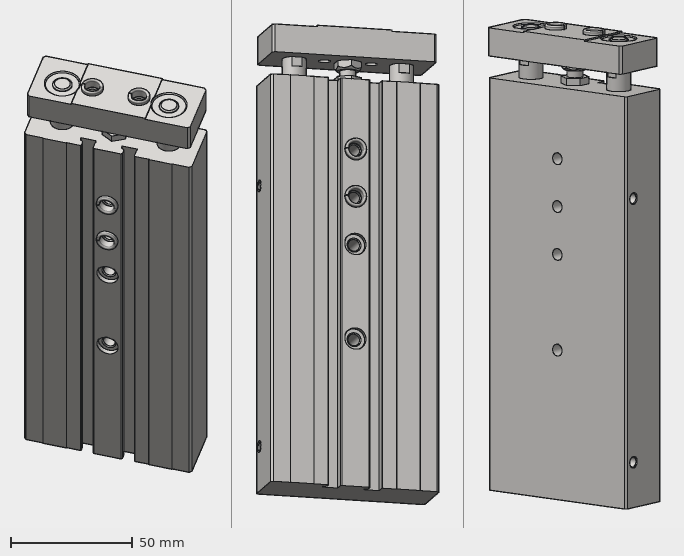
import cadquery as cq
import math

total_height = 196.8
sleeve_protrusion = 1.8

housing_width = 72.0
housing_depth = 23.8
housing_height = 173.0
housing_front = -12.0
housing_back = housing_front + housing_depth
front_chamfer = 1.2
back_chamfer = 0.8

recess_depth = 0.2
side_land_inner = 17.7
side_land_outer = 27.7

slot_center = 8.9
slot_throat = 5.1
slot_undercut = 1.4
slot_depth = 4.7
slot_floor_wall = 0.8
slot_chamfer = 0.5

mount_pitch = 20.0
mount_top_offset = 30.0
mount_pitch_steps = (0, 1, 2, 4)
mount_hole_z = [housing_height - mount_top_offset - steps * mount_pitch for steps in mount_pitch_steps]
sleeved_hole_z = mount_hole_z[:2]

sleeve_diameter = 9.0
thread_diameter = 6.0
core_diameter = 5.0
seat_depth = 2.2
thread_chamfer = (thread_diameter - core_diameter) / 2

sleeve_bore = 6.3
sleeve_slit = 0.3

port_diameter = 5.0
port_core = 4.1
port_depth = 6.0
port_tip_angle = 118.0
port_back_offset = 5.0
port_z = [19.0, 129.7]

plate_width = 70.0
plate_depth = 25.0
plate_setback = 1.0
plate_front = housing_front + plate_setback
plate_back = plate_front + plate_depth
plate_bottom = 182.6
plate_top = total_height - sleeve_protrusion
plate_step = 0.5
plate_land_half = 16.0
plate_corner = 1.0
plate_thread_spacing = 20.0
dish_diameter = 15.0
dish_floor_diameter = 14.0
dish_depth = (dish_diameter - dish_floor_diameter) / 2

rod_spacing = 45.9
rod_diameter = 10.0
rod_insertion = 157.5
rod_flat_size = 9.0
rod_flat_height = 4.0
tenon_diameter = 8.0
tenon_chamfer = 0.8

stop_shank = 6.7
stop_flats = 10.0
stop_head_height = 3.7
stop_nut_height = 3.0
stop_head_chamfer = 1.4

rod_x = [-rod_spacing / 2, rod_spacing / 2]
plate_thread_x = [-plate_thread_spacing / 2, plate_thread_spacing / 2]
plate_side_top = plate_top - plate_step


def box(x_min, x_max, y_min, y_max, z_min, z_max):
    size = (x_max - x_min, y_max - y_min, z_max - z_min)
    return cq.Workplane("XY").box(*size, centered=False).translate((x_min, y_min, z_min))


def cylinder(diameter, z_min, z_max, x=0.0):
    return cq.Workplane("XY", origin=(x, 0, z_min)).circle(diameter / 2).extrude(z_max - z_min)


def flare(bottom_diameter, top_diameter, z_min, z_max, x=0.0):
    """Cone frustum along Z."""
    base = cq.Vector(x, 0, z_min)
    return cq.Workplane(cq.Solid.makeCone(bottom_diameter / 2, top_diameter / 2, z_max - z_min, base))


def hexagon(flats, z_min, z_max):
    """Hexagonal prism with two flats facing -X and +X."""
    corners = flats / math.cos(math.pi / 6)
    prism = cq.Workplane("XY").polygon(6, corners).extrude(z_max - z_min)
    return prism.rotate((0, 0, 0), (0, 0, 1), 90).translate((0, 0, z_min))


def onto_front(shape, z):
    """Turn a shape built along +Z at the origin so that it points out of the housing front."""
    return shape.rotate((0, 0, 0), (1, 0, 0), 90).translate((0, housing_front, z))


def threaded_seat(length):
    """Cutter below Z = 0: a sleeve seat, a countersink and a core hole of the given length."""
    core = cylinder(core_diameter, -length, 0)
    countersink = flare(core_diameter, thread_diameter, -seat_depth - thread_chamfer, -seat_depth)
    return core.union(cylinder(sleeve_diameter, -seat_depth, 0)).union(countersink)


def make_sleeve():
    """Ring with a rounded rim and a slit on its -X side, standing out of Z = 0 by its protrusion."""
    outer = sleeve_diameter / 2
    inner = sleeve_bore / 2
    rim_radius = (outer - inner) / 2
    rim_base = sleeve_protrusion - rim_radius
    wall = (
        cq.Workplane("XZ")
        .moveTo(inner, -seat_depth)
        .lineTo(outer, -seat_depth)
        .lineTo(outer, rim_base)
        .threePointArc((inner + rim_radius, sleeve_protrusion), (inner, rim_base))
        .close()
    )
    ring = wall.revolve(360, (0, 0), (0, 1))
    slit = box(-outer, 0, -sleeve_slit / 2, sleeve_slit / 2, -seat_depth, sleeve_protrusion)
    return ring.cut(slit)


def slot_cutter(center):
    """Full-height slot with chamfered lips, undercut with a 45 degree shoulder on its -X side."""
    front = housing_front
    floor = front + slot_depth
    throat = slot_throat / 2
    wide = throat + slot_undercut
    lip = floor - slot_floor_wall - slot_undercut
    outline = [
        (-throat - slot_chamfer, front),
        (-throat, front + slot_chamfer),
        (-throat, lip),
        (-wide, floor - slot_floor_wall),
        (-wide, floor),
        (throat, floor),
        (throat, front + slot_chamfer),
        (throat + slot_chamfer, front),
    ]
    return cq.Workplane("XY").polyline(outline).close().extrude(housing_height).translate((center, 0, 0))


def port_cutter(z):
    """Drilled port entering the -X side, with a countersunk mouth and a conical tip."""
    tip = port_core / 2 / math.tan(math.radians(port_tip_angle / 2))
    profile = [
        (0, 0),
        (port_diameter / 2, 0),
        (port_core / 2, (port_diameter - port_core) / 2),
        (port_core / 2, port_depth),
        (0, port_depth + tip),
    ]
    cutter = cq.Workplane("XY").polyline(profile).close().revolve(360, (0, 0), (0, 1))
    cutter = cutter.rotate((0, 0, 0), (0, 0, 1), -90)
    return cutter.translate((-housing_width / 2, housing_back - port_back_offset, z))


def make_housing():
    """Housing extrusion with front slots, mounting holes, air ports and blind rod bores."""
    half = housing_width / 2
    body = box(-half, half, housing_front, housing_back, 0, housing_height)
    body = body.edges("|Z and >Y").chamfer(back_chamfer)
    body = body.edges("|Z and <Y").chamfer(front_chamfer)
    for side in (-1, 1):
        body = body.cut(slot_cutter(side * slot_center))
        for inner, outer in ((slot_center, side_land_inner), (side_land_outer, half)):
            x_min, x_max = sorted((side * inner, side * outer))
            body = body.cut(
                box(x_min, x_max, housing_front, housing_front + recess_depth, 0, housing_height)
            )
    for z in mount_hole_z:
        body = body.cut(onto_front(threaded_seat(housing_depth), z))
    for z in port_z:
        body = body.cut(port_cutter(z))
    for x in rod_x:
        body = body.cut(cylinder(rod_diameter, housing_height - rod_insertion, housing_height, x))
    return body


def make_stop_screw():
    """Hexagon head, shank and hexagon nut between the plate and the housing top."""
    head_bottom = plate_bottom - stop_head_height
    corners = stop_flats / math.cos(math.pi / 6)
    cone = cylinder(corners, head_bottom, plate_bottom).faces("<Z").chamfer(stop_head_chamfer)
    head = hexagon(stop_flats, head_bottom, plate_bottom).intersect(cone)
    shank = cylinder(stop_shank, housing_height, plate_bottom)
    nut = hexagon(stop_flats, housing_height, housing_height + stop_nut_height)
    return head.union(shank).union(nut)


def dish_cutter(x):
    """Shallow flared dish around a rod tenon, clearing the raised land above it too."""
    dish = flare(dish_floor_diameter, dish_diameter, plate_side_top - dish_depth, plate_side_top, x)
    return dish.union(cylinder(dish_diameter, plate_side_top, plate_top, x))


def make_plate():
    """Yoke plate with a raised centre land, carrying the stop screw in one piece."""
    half = plate_width / 2
    plate = box(-half, half, plate_front, plate_back, plate_bottom, plate_top)
    for side in (-1, 1):
        x_min, x_max = sorted((side * plate_land_half, side * half))
        plate = plate.cut(box(x_min, x_max, plate_front, plate_back, plate_side_top, plate_top))
    plate = plate.edges("|Z").edges("<X or >X").chamfer(plate_corner)
    for x in rod_x:
        plate = plate.cut(cylinder(tenon_diameter, plate_bottom, plate_top, x))
        plate = plate.cut(dish_cutter(x))
    for x in plate_thread_x:
        plate = plate.cut(threaded_seat(plate_top - plate_bottom).translate((x, 0, plate_top)))
    return plate.union(make_stop_screw())


def make_rod(x):
    """Rod with two wrench flats under the plate and a thinner tenon through the plate."""
    rod = cylinder(rod_diameter, housing_height - rod_insertion, plate_bottom)
    flat_bottom = plate_bottom - rod_flat_height
    for side in (-1, 1):
        y_min, y_max = sorted((side * rod_flat_size / 2, side * rod_diameter))
        rod = rod.cut(box(-rod_diameter, rod_diameter, y_min, y_max, flat_bottom, plate_bottom))
    tenon = cylinder(tenon_diameter, plate_bottom, plate_side_top).faces(">Z").chamfer(tenon_chamfer)
    return rod.union(tenon).translate((x, 0, 0))


housing = make_housing()
plate = make_plate()
rods = [make_rod(x) for x in rod_x]
sleeve = make_sleeve()
front_sleeves = [onto_front(sleeve, z) for z in sleeved_hole_z]
plate_sleeves = [sleeve.translate((x, 0, plate_top)) for x in plate_thread_x]

bodies = [housing, plate, *rods, *front_sleeves, *plate_sleeves]
result = cq.Compound.makeCompound([body.val() for body in bodies])